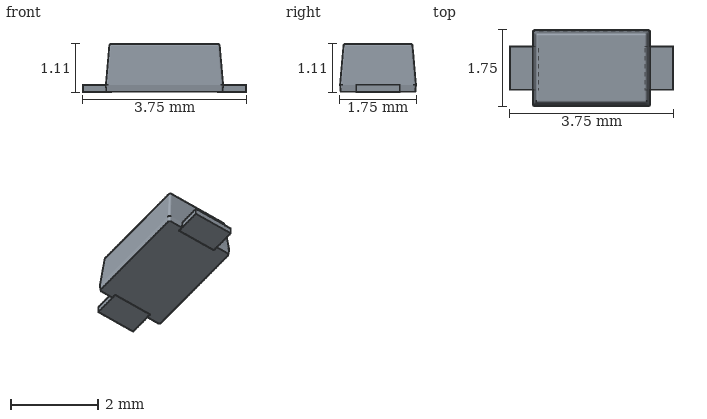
import cadquery as cq
import math

body_length = 2.70
body_width = 1.75
draft_angle = 5.0
edge_radius = 0.05

overall_length = 3.75
lead_width = 1.00
lead_thickness = 0.17
lead_length = 0.65

overall_height = 1.11
standoff = 0.01
parting_height = lead_thickness


def drafted_half(height):
    """Block from the parting plane, tapering inward over a signed height."""
    inset = abs(height) * math.tan(math.radians(draft_angle))
    return (
        cq.Workplane("XY", origin=(0, 0, parting_height))
        .rect(body_length, body_width)
        .workplane(offset=height)
        .rect(body_length - 2 * inset, body_width - 2 * inset)
        .loft(ruled=True)
    )


def make_body():
    upper = drafted_half(overall_height - parting_height)
    upper = upper.edges("(not #Z) or (>Z)").fillet(edge_radius)
    lower = drafted_half(standoff - parting_height)
    lower = lower.edges("not #Z").fillet(edge_radius)
    return upper.union(lower)


def make_lead(side):
    """Flat lead along X; side is -1 or +1."""
    centre_x = side * (overall_length - lead_length) / 2
    return (
        cq.Workplane("XY")
        .center(centre_x, 0)
        .rect(lead_length, lead_width)
        .extrude(lead_thickness)
    )


result = make_body()
for side in (-1, 1):
    result = result.union(make_lead(side))